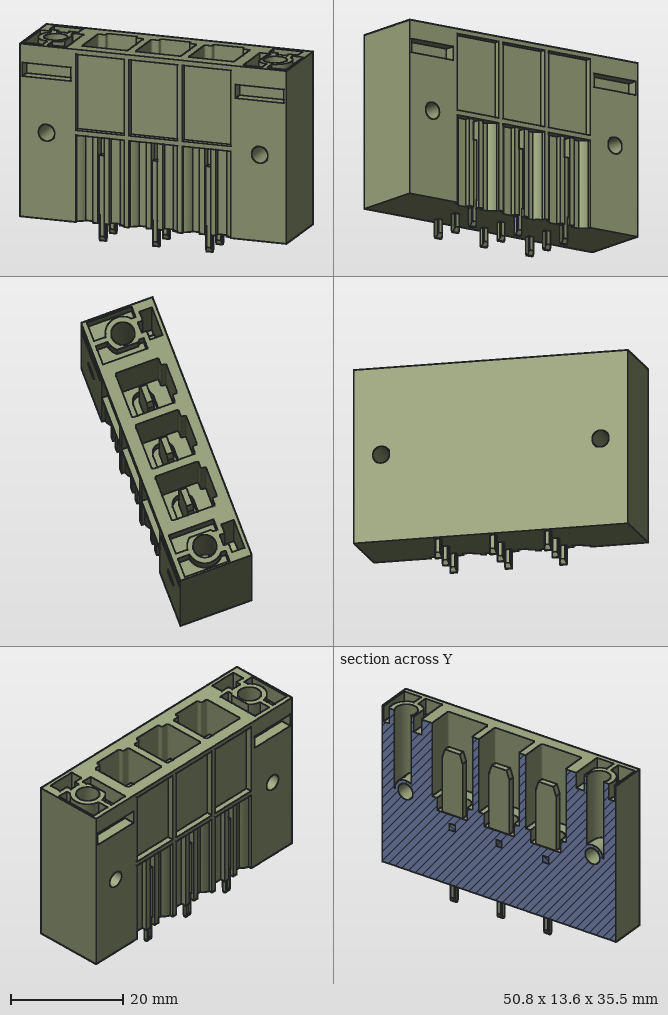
import cadquery as cq
import math

LENGTH = 50.8
DEPTH = 13.6
HEIGHT = 32.1
FRONT = -DEPTH / 2

PITCH = 10.15
WEB = 0.9
CELL_WIDTH = PITCH - WEB
POLE_X = (-PITCH, 0.0, PITCH)
SIDES = (-1, 1)
FLANGE_X = 2 * PITCH

PANEL_TOP = HEIGHT - WEB
PANEL_BOTTOM = 17.05
PANEL_DEPTH = 1.15
SLOT_TOP = 28.65
SLOT_HEIGHT = 2.55
SLOT_DEPTH = 2.15

BAY_TOP = PANEL_BOTTOM - WEB
BAY_DEPTH = 1.65
COLUMN_RADIUS = 2.15
COLUMN_REACH = 1.85
RIB_WIDTH = 3.15
RIB_SETBACK = 0.6

CAVITY_WIDTH = 8.7
CAVITY_FRONT = -4.35
CAVITY_BACK = 3.85
KEY_WIDTH = 5.8
KEY_BACK = 4.8
CAVITY_FLOOR = PANEL_BOTTOM
CAVITY_RADIUS = 0.3
WELL_WIDTH = 6.5
WELL_DEPTH = 3.95
WELL_RADIUS = 1.75
WELL_FLOOR = 14.55

HOLE_DIAMETER = 3.1
HOLE_Z = HEIGHT / 2
TUBE_RADIUS = 2.35
SOCKET_X = 20.95
SOCKET_Y = -0.5
SOCKET_DIAMETER = 4.2
RING_RADIUS = 3.15
RING_FLAT = 2.45
POCKET_WIDTH = 8.25
POCKET_FRONT = -5.85
POCKET_BACK = 2.7
POCKET_DEPTH = 3.15
NECK_WIDTH = 4.1
SPOKE_WIDTH = 0.95
NUT_WIDTH = 5.5
NUT_FRONT = 3.65
NUT_BACK = 6.05
NUT_SLOT_WIDTH = 2.05

LEG = 1.15
LEG_PITCH = 5.1
LEG_Y = (-LEG_PITCH, 0.0, LEG_PITCH)
LEG_LENGTH = 3.4
LEG_CHAMFER = 0.2
CHAMFER_TOP = 1.45
TIP_HEIGHT = 0.9
TIP_THICKNESS = 0.4
BAR_TOP = 12.55
BLADE_WIDTH = 4.4
BLADE_TIP_WIDTH = 3.2
BLADE_TIP_HEIGHT = 1.8
BLADE_TOP = 27.55


def block(x0, x1, y0, y1, z0, z1):
    """Box between two opposite corners."""
    return cq.Workplane("XY").box(x1 - x0, y1 - y0, z1 - z0, centered=False).translate((x0, y0, z0))


def centred_block(x, width, y0, y1, z0, z1):
    """Box centred on x along X."""
    return block(x - width / 2, x + width / 2, y0, y1, z0, z1)


def cylinder_y(x, z, radius):
    """Cylinder along Y through the whole depth of the housing."""
    return cq.Workplane("XZ", origin=(x, -FRONT, z)).circle(radius).extrude(DEPTH)


def cylinder_z(x, y, radius, z0, z1):
    """Upright cylinder between two levels."""
    return cq.Workplane("XY", origin=(x, y, z0)).circle(radius).extrude(z1 - z0)


def front_panel(x):
    """Shallow rectangular recess in the front face."""
    return centred_block(x, CELL_WIDTH, FRONT, FRONT + PANEL_DEPTH, PANEL_BOTTOM, PANEL_TOP)


def bay(x):
    """Recess below a panel, with rounded columns at its sides and a slotted rib in the middle."""
    floor = FRONT + BAY_DEPTH
    column_y = floor + math.sqrt(COLUMN_RADIUS**2 - COLUMN_REACH**2)
    shape = centred_block(x, CELL_WIDTH, FRONT, floor, 0, BAY_TOP)
    for side in SIDES:
        shape = shape.cut(cylinder_z(x + side * PITCH / 2, column_y, COLUMN_RADIUS, 0, BAY_TOP))
    shape = shape.cut(centred_block(x, RIB_WIDTH, FRONT + RIB_SETBACK, floor, 0, BAY_TOP))
    return shape.union(centred_block(x, LEG, FRONT, LEG_Y[0] + LEG / 2, 0, BAY_TOP))


def cavity(x):
    """Keyed plug cavity open at the top, with a rounded well in its floor."""
    shape = centred_block(x, CAVITY_WIDTH, CAVITY_FRONT, CAVITY_BACK, CAVITY_FLOOR, HEIGHT)
    shape = shape.union(centred_block(x, KEY_WIDTH, CAVITY_FRONT, KEY_BACK, CAVITY_FLOOR, HEIGHT))
    shape = shape.edges("|Z").fillet(CAVITY_RADIUS)
    well = centred_block(x, WELL_WIDTH, -WELL_DEPTH / 2, WELL_DEPTH / 2, WELL_FLOOR, CAVITY_FLOOR)
    return shape.union(well.edges("|Z").fillet(WELL_RADIUS))


def flange_pocket(side):
    """Shallow pocket around the socket ring, split by the neck and the spoke."""
    x = side * SOCKET_X
    floor = HEIGHT - POCKET_DEPTH
    ring = cylinder_z(x, SOCKET_Y, RING_RADIUS, floor, HEIGHT)
    beyond_flat = centred_block(
        x - side * (RING_FLAT + RING_RADIUS / 2), RING_RADIUS,
        SOCKET_Y - RING_RADIUS, SOCKET_Y + RING_RADIUS, floor, HEIGHT,
    )
    neck = centred_block(x, NECK_WIDTH, SOCKET_Y, POCKET_BACK, floor, HEIGHT)
    spoke = centred_block(x, SPOKE_WIDTH, POCKET_FRONT, SOCKET_Y, floor, HEIGHT)
    pocket = centred_block(x, POCKET_WIDTH, POCKET_FRONT, POCKET_BACK, floor, HEIGHT)
    return pocket.cut(ring.cut(beyond_flat)).cut(neck).cut(spoke)


def flange_wells(side):
    """Screw socket and T-shaped nut well, down to the cross hole axis but clear of its tube."""
    x = side * SOCKET_X
    socket = cylinder_z(x, SOCKET_Y, SOCKET_DIAMETER / 2, HOLE_Z, HEIGHT)
    nut_well = centred_block(x, NUT_WIDTH, NUT_FRONT, NUT_BACK, HOLE_Z, HEIGHT)
    nut_slot = centred_block(x, NUT_SLOT_WIDTH, POCKET_BACK, NUT_FRONT, HOLE_Z, HEIGHT)
    tube = cylinder_y(side * FLANGE_X, HOLE_Z, TUBE_RADIUS)
    return socket.union(nut_well.union(nut_slot)).cut(tube)


def flange_slot(side):
    """Horizontal slot in the front face of a flange."""
    return centred_block(
        side * FLANGE_X, CELL_WIDTH, FRONT, FRONT + SLOT_DEPTH, SLOT_TOP - SLOT_HEIGHT, SLOT_TOP
    )


def leg(x, y):
    """Square leg with chamfered edges and a tip that narrows along Y."""
    shank = centred_block(x, LEG, y - LEG / 2, y + LEG / 2, CHAMFER_TOP, BAR_TOP)
    lower = centred_block(x, LEG, y - LEG / 2, y + LEG / 2, -LEG_LENGTH, CHAMFER_TOP)
    lower = lower.edges("|Z").chamfer(LEG_CHAMFER)
    shoulder = TIP_HEIGHT - LEG_LENGTH
    tapered = (
        cq.Workplane("YZ", origin=(x - LEG / 2, y, 0))
        .polyline([
            (-TIP_THICKNESS / 2, -LEG_LENGTH),
            (TIP_THICKNESS / 2, -LEG_LENGTH),
            (LEG / 2, shoulder),
            (LEG / 2, CHAMFER_TOP),
            (-LEG / 2, CHAMFER_TOP),
            (-LEG / 2, shoulder),
        ])
        .close()
        .extrude(LEG)
    )
    return shank.union(lower.intersect(tapered))


def terminal(x):
    """Terminal: three legs in a row, a bar that joins them and an upright contact blade."""
    reach = LEG_PITCH + LEG / 2
    shape = centred_block(x, LEG, -reach, reach, BAR_TOP - LEG, BAR_TOP)
    for y in LEG_Y:
        shape = shape.union(leg(x, y))
    blade_shoulder = BLADE_TOP - BLADE_TIP_HEIGHT
    blade = (
        cq.Workplane("XZ", origin=(x, LEG / 2, 0))
        .polyline([
            (-BLADE_WIDTH / 2, BAR_TOP - LEG),
            (BLADE_WIDTH / 2, BAR_TOP - LEG),
            (BLADE_WIDTH / 2, blade_shoulder),
            (BLADE_TIP_WIDTH / 2, BLADE_TOP),
            (-BLADE_TIP_WIDTH / 2, BLADE_TOP),
            (-BLADE_WIDTH / 2, blade_shoulder),
        ])
        .close()
        .extrude(LEG)
    )
    return shape.union(blade)


def housing_body(terminals):
    """Housing with all recesses and a matching passage for each terminal."""
    body = centred_block(0, LENGTH, FRONT, -FRONT, 0, HEIGHT)
    for x in POLE_X:
        body = body.cut(front_panel(x)).cut(bay(x)).cut(cavity(x))
    for side in SIDES:
        body = body.cut(flange_pocket(side)).cut(flange_wells(side)).cut(flange_slot(side))
        body = body.cut(cylinder_y(side * FLANGE_X, HOLE_Z, HOLE_DIAMETER / 2))
    for pin in terminals:
        body = body.cut(pin)
    return body


terminals = [terminal(x) for x in POLE_X]
housing = housing_body(terminals)

result = cq.Compound.makeCompound([housing.val(), *[pin.val() for pin in terminals]])